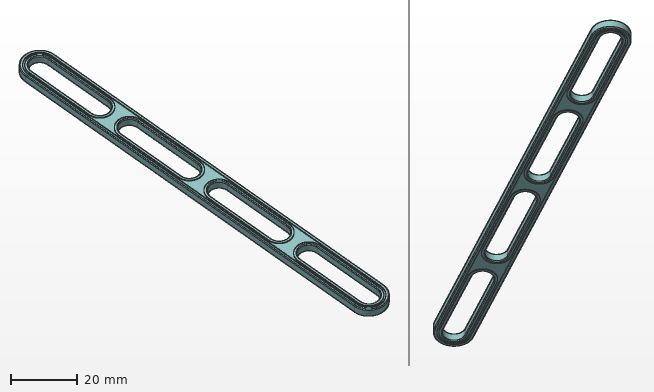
import cadquery as cq

length = 150.0
width = 12.5
thickness = 3.2

slot_count = 4
frame_width = 2.7
slot_pitch = length / slot_count
slot_length = slot_pitch - 2 * frame_width
slot_width = width - 2 * frame_width

outer_rim_width = 1.0
slot_lip_width = 1.0
recess_depth = 0.3

bevel = 0.3


def round_ended_bar(height, inset=0.0):
    """Bar along X centred on the origin, its outline moved inward by inset."""
    outline = cq.Workplane("XY").slot2D(length - 2 * inset, width - 2 * inset)
    return outline.extrude(height / 2, both=True)


def slot_row(height, growth=0.0):
    """Row of round-ended slot bodies, their outlines moved outward by growth."""
    places = cq.Workplane("XY").rarray(slot_pitch, 1.5, slot_count, 1)
    outlines = places.slot2D(slot_length + 2 * growth, slot_width + 2 * growth)
    return outlines.extrude(height / 2, both=True)


def slotted_bar():
    """Bar with through slots and every edge of both faces bevelled."""
    bar = round_ended_bar(thickness).cut(slot_row(thickness))
    return bar.faces("<Z or >Z").edges().chamfer(bevel)


def face_recesses():
    """Material removed from both faces between the outer rim and the slot lips."""
    field = round_ended_bar(thickness, inset=outer_rim_width)
    web = round_ended_bar(thickness - 2 * recess_depth)
    lips = slot_row(thickness, growth=slot_lip_width)
    return field.cut(lips).cut(web)


result = slotted_bar().cut(face_recesses())